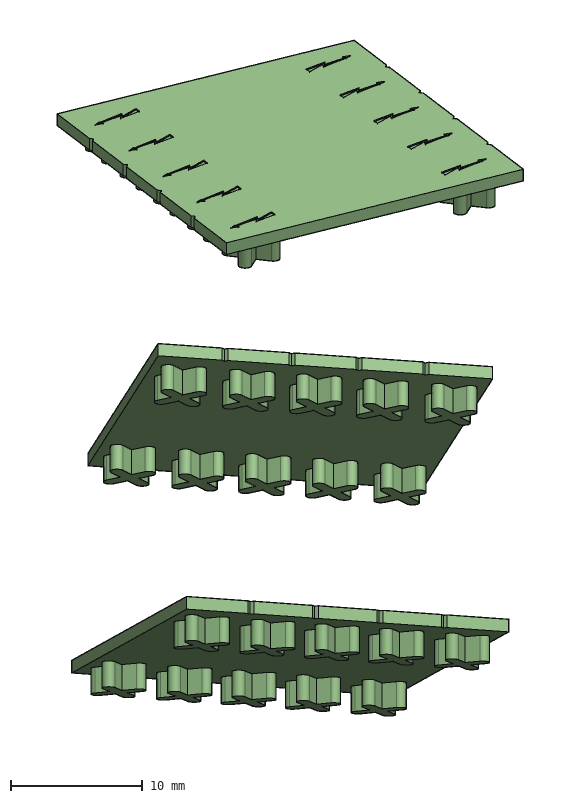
import cadquery as cq
import math

plate_side = 26.0
plate_thickness = 1.0
half_side = plate_side / 2

column_count = 5
column_pitch = plate_side / column_count

notch_depth = 0.23

peg_height = 2.0
peg_span = 3.5
peg_arm_width = 1.05
peg_outer_x = 10.5
peg_row_y = 9.4

bolt_depth = 0.1
bolt_shift_x = 0.05
bolt_outline = [
    (-0.47, 11.45),
    (-0.57, 10.8),
    (-0.35, 10.82),
    (-0.08, 8.95),
    (-0.45, 9.2),
    (-0.08, 7.33),
    (0.47, 7.33),
    (-0.15, 8.85),
    (0.25, 8.7),
    (-0.25, 10.87),
    (-0.18, 10.9),
]


def centred_positions(count, pitch):
    """Evenly pitched positions centred on zero."""
    return [(i - (count - 1) / 2) * pitch for i in range(count)]


def make_plate():
    return cq.Workplane("XY").rect(plate_side, plate_side).extrude(plate_thickness)


def make_notches():
    """45-degree V grooves through the plate thickness; each is a square turned on its corner."""
    centres = [
        (x, y)
        for x in centred_positions(column_count - 1, column_pitch)
        for y in (-half_side, half_side)
    ]
    return (
        cq.Workplane("XY")
        .pushPoints(centres)
        .polygon(4, 2 * notch_depth)
        .extrude(plate_thickness)
    )


def make_pegs():
    arm_length = math.sqrt(2) * (peg_span - peg_arm_width) + peg_arm_width
    inner_columns = centred_positions(column_count - 2, column_pitch)
    centres = [
        (x, y)
        for x in [-peg_outer_x, *inner_columns, peg_outer_x]
        for y in (-peg_row_y, peg_row_y)
    ]

    def arms(angle):
        return (
            cq.Workplane("XY")
            .pushPoints(centres)
            .slot2D(arm_length, peg_arm_width, angle)
            .extrude(-peg_height)
        )

    return arms(45).union(arms(-45))


def make_bolts():
    """Cutters for the back row, and the same row turned half a turn for the front."""
    back_row = cq.Workplane("XY").workplane(offset=plate_thickness)
    for column_x in centred_positions(column_count, column_pitch):
        back_row = back_row.polyline([(column_x + x, y) for x, y in bolt_outline]).close()
    back_row = back_row.extrude(-bolt_depth)
    front_row = back_row.rotate((0, 0, 0), (0, 0, 1), 180)
    return back_row.union(front_row).translate((bolt_shift_x, 0, 0))


result = make_plate().cut(make_notches()).cut(make_bolts()).union(make_pegs())